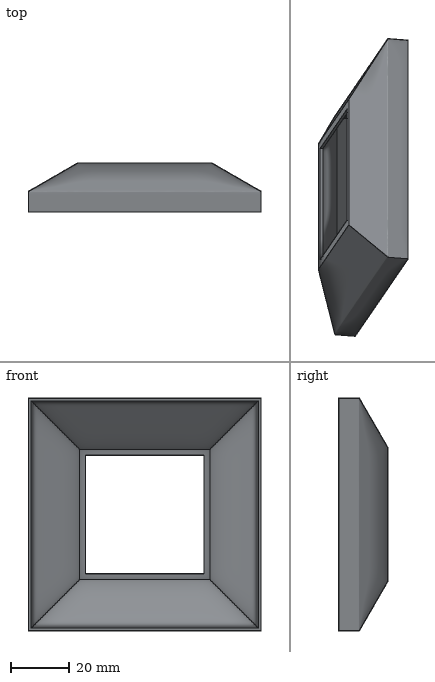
import cadquery as cq
import math

outer_side = 80.0
depth = 17.0
front_y = -depth / 2
back_y = depth / 2

rim_depth = 7.1
back_side = 45.9
blend_length = 1.2
corner_pull = 4

wall = 1.0
cavity_side = outer_side - 2 * wall
cavity_rim_depth = 6.6
cavity_floor_side = 44.8
floor_thickness = wall
window_side = 40.6


def square_block(side, start_y, end_y):
    """Square block centred on the Y axis between two Y positions."""
    return cq.Workplane("XZ", origin=(0, start_y, 0)).rect(side, side).extrude(start_y - end_y)


def square_taper(start_side, end_side, start_y, end_y):
    """Square pyramid frustum centred on the Y axis."""
    return (
        cq.Workplane("XZ", origin=(0, start_y, 0))
        .rect(start_side, start_side)
        .workplane(offset=start_y - end_y)
        .rect(end_side, end_side)
        .loft(ruled=True)
    )


def shell_prism():
    """Outer cross-section, with its tight blended shoulders, extruded along Z."""
    half = outer_side / 2
    back_half = back_side / 2
    shoulder_y = front_y + rim_depth
    slope_angle = math.atan2(back_y - shoulder_y, half - back_half)
    blend_x = half - blend_length * math.cos(slope_angle)
    blend_top_y = shoulder_y + blend_length * math.sin(slope_angle)
    blend_base_y = shoulder_y - blend_length

    right_corner = [(half, shoulder_y)] * corner_pull
    left_corner = [(-half, shoulder_y)] * corner_pull
    return (
        cq.Workplane("XY", origin=(0, 0, -half))
        .moveTo(-half, front_y)
        .lineTo(half, front_y)
        .lineTo(half, blend_base_y)
        .bezier(right_corner + [(blend_x, blend_top_y)], includeCurrent=True)
        .lineTo(back_half, back_y)
        .lineTo(-back_half, back_y)
        .lineTo(-blend_x, blend_top_y)
        .bezier(left_corner + [(-half, blend_base_y)], includeCurrent=True)
        .close()
        .extrude(outer_side)
    )


prism = shell_prism()
shell = prism.intersect(prism.rotate((0, 0, 0), (0, 1, 0), 90))

cavity_shoulder_y = front_y + cavity_rim_depth
floor_y = back_y - floor_thickness
cavity = square_block(cavity_side, front_y, cavity_shoulder_y).union(
    square_taper(cavity_side, cavity_floor_side, cavity_shoulder_y, floor_y)
)
window = square_block(window_side, front_y, back_y)

result = shell.cut(cavity).cut(window)